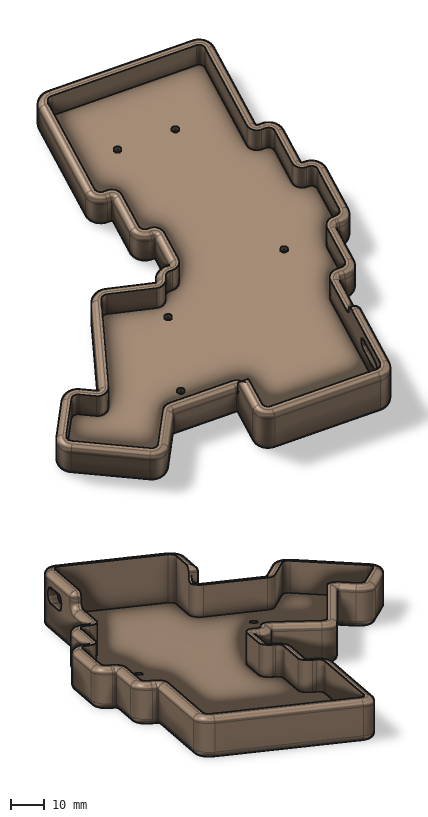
import cadquery as cq
import math

low_height = 13.0
tall_height = 18.0
floor_thickness = 3.0

wall = 3.0
convex_radius = 5.0
concave_radius = 0.3
edge_radius = 2.0
ramp_radius = 2.0

tolerance = 1e-4

left_x = -70.05
right_x = 70.05
back_y = 44.0
middle_back_y = 50.8
top_back_y = 56.835
front_y = -12.8
ring_front_y = -6.2
middle_front_y = -0.2
back_step_x = (-33.9, -15.9, 10.0, 28.1)
front_step_x = (-25.6, -7.8, 3.1)
neck_x = 53.6

thumb_pad_angle = math.radians(30)
thumb_pad_left = 51.15
thumb_pad_right = 74.4
thumb_pad_bottom = -24.79
thumb_pad_top = 8.69
neck_front_y = (thumb_pad_top - neck_x * math.sin(thumb_pad_angle)) / math.cos(thumb_pad_angle)

back_ramp_x = 42.0
front_ramp_x = 54.2
tall_side_y = 20.0
corner_split_x = 57.0
corner_split_y = -5.0

slot_length = 12.0
slot_height = 5.0
slot_x = 57.0
slot_z = 11.5

screw_hole_diameter = 2.3
screw_hole_centres = [(-47.9, 23.9), (-47.9, 5.2), (5.5, 35.9), (14.65, -5.6), (41.1, -13.0)]

beyond = 100.0
overlap = 1.0


def thumb_pad_point(along, across):
    """Point given in the directions of the turned pad."""
    cosine = math.cos(thumb_pad_angle)
    sine = math.sin(thumb_pad_angle)
    return (along * cosine + across * sine, across * cosine - along * sine)


outline = [
    (left_x, front_y),
    (front_step_x[0], front_y),
    (front_step_x[0], ring_front_y),
    (front_step_x[1], ring_front_y),
    (front_step_x[1], middle_front_y),
    (front_step_x[2], middle_front_y),
    (front_step_x[2], -4.95),
    (7.45, -6.45),
    (2.4, -25.5),
    (37.2, -37.9),
    thumb_pad_point(thumb_pad_left, thumb_pad_bottom),
    thumb_pad_point(thumb_pad_right, thumb_pad_bottom),
    thumb_pad_point(thumb_pad_right, thumb_pad_top),
    (neck_x, neck_front_y),
    (neck_x, middle_front_y),
    (right_x, middle_front_y),
    (right_x, back_y),
    (back_step_x[3], back_y),
    (back_step_x[3], middle_back_y),
    (back_step_x[2], middle_back_y),
    (back_step_x[2], top_back_y),
    (back_step_x[1], top_back_y),
    (back_step_x[1], middle_back_y),
    (back_step_x[0], middle_back_y),
    (back_step_x[0], back_y),
    (left_x, back_y),
]


def rounded_outline(inset):
    """Closed wire that follows the outline at a distance inside it, with rounded corners."""
    arcs = []
    for i, point in enumerate(outline):
        corner = cq.Vector(*point)
        to_previous = (cq.Vector(*outline[i - 1]) - corner).normalized()
        to_next = (cq.Vector(*outline[(i + 1) % len(outline)]) - corner).normalized()
        inward = (to_previous + to_next).normalized()
        half_angle = to_previous.getAngle(to_next) / 2
        convex = to_next.cross(to_previous).z > 0
        radius = convex_radius if convex else concave_radius
        centre = corner + inward * (radius / math.sin(half_angle))
        inset_radius = radius - inset if convex else radius + inset
        start_normal = (to_previous * math.cos(half_angle) - inward).normalized()
        end_normal = (to_next * math.cos(half_angle) - inward).normalized()
        directions = (start_normal, inward * -1, end_normal)
        arcs.append([centre + direction * inset_radius for direction in directions])
    edges = []
    for i, (start, middle, end) in enumerate(arcs):
        previous_end = arcs[i - 1][2]
        if (start - previous_end).Length > tolerance:
            edges.append(cq.Edge.makeLine(previous_end, start))
        edges.append(cq.Edge.makeThreePointArc(start, middle, end))
    return cq.Wire.assembleEdges(edges)


def outline_prism(inset, bottom, top):
    """Solid with the inset outline, from one height to another."""
    prism = cq.Solid.extrudeLinear(rounded_outline(inset), [], cq.Vector(0, 0, top - bottom))
    return cq.Workplane(prism.translate(cq.Vector(0, 0, bottom)))


def box(x_range, y_range, z_range):
    """Box between the given limits."""
    corner = (x_range[0], y_range[0], z_range[0])
    size = [limits[1] - limits[0] for limits in (x_range, y_range, z_range)]
    return cq.Workplane().box(*size, centered=False).translate(corner)


def rim_edges(solid):
    """Edges of the solid's upper rim that lie on the outline."""
    boundary = rounded_outline(0)
    edges = []
    for edge in solid.edges("not |Z").vals():
        point = edge.positionAt(0.5)
        on_boundary = cq.Vertex.makeVertex(point.x, point.y, 0).distance(boundary) < tolerance
        if on_boundary and point.z > low_height - tolerance:
            edges.append(edge)
    return edges


def stepped_tray():
    """Solid tray, low to the left of the back ramp and tall to its right."""
    tray = outline_prism(0, 0, tall_height)
    tray = tray.cut(box((left_x, back_ramp_x), (-beyond, beyond), (low_height, tall_height)))
    ramp = cq.selectors.BoxSelector(
        (back_ramp_x - overlap, -beyond, low_height - overlap),
        (back_ramp_x + overlap, beyond, tall_height + overlap),
    )
    tray = tray.edges(ramp).edges("|Y").fillet(ramp_radius)
    tray = tray.newObject(rim_edges(tray)).fillet(edge_radius)
    return tray.faces("<Z").edges().fillet(edge_radius)


def low_tray():
    """Solid tray with the low rim all around."""
    return outline_prism(0, 0, low_height).faces("<Z or >Z").edges().fillet(edge_radius)


def front_ramp_end():
    """End of the tall front wall, rounded along its top."""
    end = box(
        (front_ramp_x, corner_split_x),
        (middle_front_y, middle_front_y + 2 * wall),
        (low_height - edge_radius, tall_height),
    )
    return end.faces(">Z").edges("<X or <Y").fillet(edge_radius)


def front_ramp_foot():
    """Hollow curve from the low rim up to the end of the tall front wall."""
    foot_x = front_ramp_x - ramp_radius
    root_x = front_ramp_x + overlap
    foot = (
        cq.Workplane("XZ", origin=(0, middle_front_y + 2 * wall, 0))
        .moveTo(foot_x, low_height)
        .radiusArc((front_ramp_x, low_height + ramp_radius), -ramp_radius)
        .lineTo(root_x, low_height + ramp_radius)
        .lineTo(root_x, low_height - overlap)
        .lineTo(foot_x, low_height - overlap)
        .close()
        .extrude(2 * wall)
    )
    return foot.intersect(outline_prism(edge_radius, 0, tall_height))


def solid_tray():
    """Tray before hollowing: the stepped tray at the back and right, the low tray elsewhere."""
    heights = (-overlap, tall_height + overlap)
    back_region = box((-beyond, beyond), (tall_side_y, beyond), heights)
    corner_region = box((corner_split_x, beyond), (corner_split_y, beyond), heights)
    region = back_region.union(corner_region)
    tray = stepped_tray().intersect(region).union(low_tray().cut(region), clean=False)
    tray = tray.union(front_ramp_end(), clean=False)
    return tray.union(front_ramp_foot(), clean=False)


def screw_holes():
    """Cylinders through the floor."""
    holes = cq.Workplane().pushPoints(screw_hole_centres)
    return holes.circle(screw_hole_diameter / 2).extrude(floor_thickness)


def cable_slot():
    """Round-ended slot through the back wall."""
    plane = cq.Workplane("XZ", origin=(slot_x, back_y, slot_z))
    return plane.slot2D(slot_length, slot_height).extrude(wall)


cavity = outline_prism(wall, floor_thickness, tall_height + overlap)
result = solid_tray().cut(cavity).clean().cut(screw_holes()).cut(cable_slot())